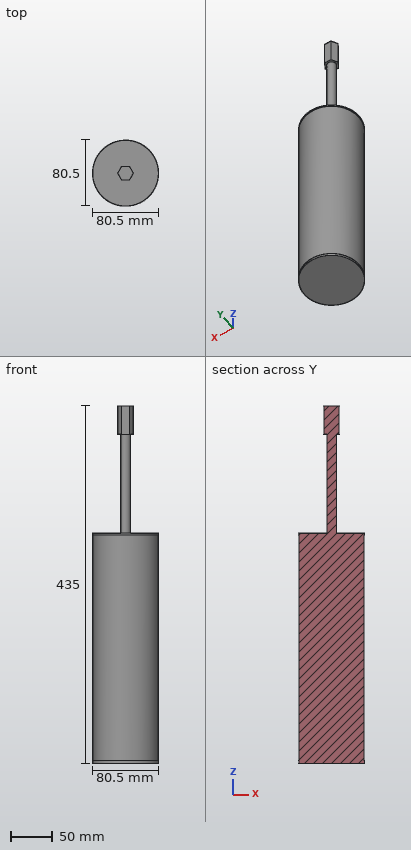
import cadquery as cq
import math

total_height = 435.0
body_diameter = 80.0
body_height = 280.0

cap_height = 3.5
top_cap_height = 2.0
cap_diameter = 80.5

rod_diameter = 12.0
grip_height = 35.0
grip_across_flats = 16.5
grip_across_corners = grip_across_flats / math.cos(math.pi / 6)


def cylinder(diameter, bottom, top):
    """Upright cylinder on the part axis between two heights."""
    return cq.Workplane("XY").workplane(offset=bottom).circle(diameter / 2).extrude(top - bottom)


grip_bottom = total_height - grip_height
shell_top = body_height - top_cap_height

bottom_cap = cylinder(cap_diameter, 0, cap_height)
shell = cylinder(body_diameter, cap_height, shell_top)
top_cap = cylinder(cap_diameter, shell_top, body_height)
rod = cylinder(rod_diameter, body_height, grip_bottom)

grip = (
    cq.Workplane("XY")
    .workplane(offset=grip_bottom)
    .polygon(6, grip_across_corners)
    .extrude(grip_height)
)

result = bottom_cap.union(shell).union(top_cap).union(rod).union(grip)